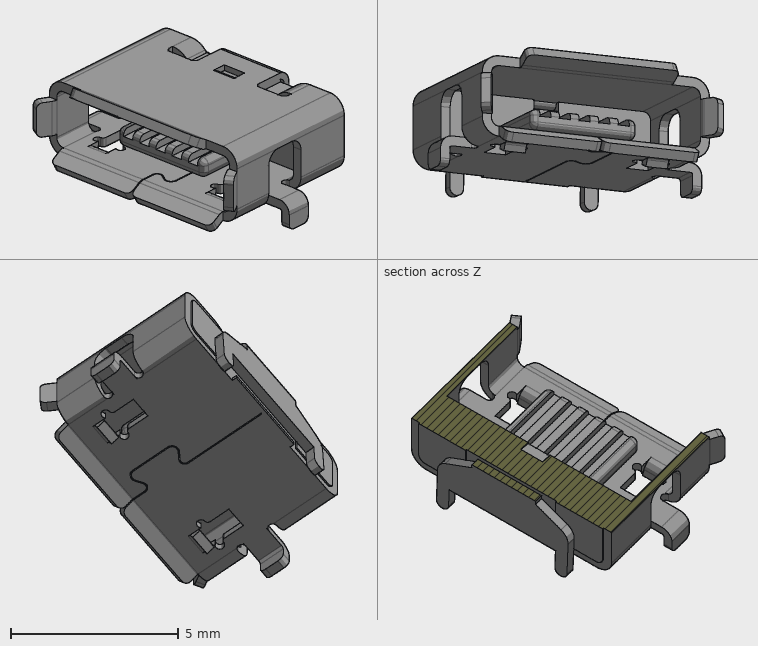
import cadquery as cq
import math

sheet = 0.3
shell_width = 7.525
shell_height = 2.47
shell_depth = 4.82
corner_outer = 0.56
corner_inner = corner_outer - sheet
inner_half_width = shell_width / 2 - sheet
inner_top = shell_height - sheet
flat_half_width = shell_width / 2 - corner_outer

flare_angle = 30
flare_inner_radius = 0.035
flare_length = 0.49
flare_tip_radius = 0.2
top_lip_width = 5.025
side_lip_height = 1.15
side_lip_center_z = 1.24
seam_gap = 0.035

bend_inner_radius = 0.09
bend_outer_radius = bend_inner_radius + sheet

leg_half_span = 4.325
leg_bottom_z = -0.61
leg_width = 0.865
leg_tip_radius = 0.21
leg_center_y = 2.145
window_width = 1.445
window_top_z = shell_height - corner_outer
window_corner_radius = 0.43
relief_width = (window_width - leg_width) / 2
relief_end_x = 3.17

spring_center_x = 2.35
spring_width = 0.71
spring_front_y = 0.55
spring_angle = 66.5
spring_length = 0.21
spring_hole_back_y = 2.08
spring_relief_radius = 0.14
spring_relief_y = 1.12
spring_relief_offset = 0.46
spring_shoulder_radius = 0.12

tail_width = 0.76
tail_front_y = 0.27
tail_neck_y = 0.78
tail_center_y = 1.25
tail_radius = 0.18

notch_inner_x = 1.2
notch_outer_x = 2.38
notch_front_y = 3.685
notch_radius = 0.165
flap_front_y = 3.99
flap_bend_radius = 0.805
flap_angle = 45
flap_length = 0.22

latch_width = 0.81
latch_front_y = 3.61
latch_ramp_end_y = 3.8
latch_back_y = 4.1
latch_ramp_drop = 0.09
latch_drop = 0.19
latch_pocket_floor_z = 1.89

cover_bend_y = 4.775
cover_bend_radius = 0.42
cover_bend_thickness = 0.22
cover_tilt = 2.4
cover_half_width = 2.46
cover_shoulder_z = 1.8
cover_shoulder_angle = 25.5
cover_shoulder_radius = 0.49
cover_bottom_z = 0.3
cover_foot_z = -0.64
cover_foot_width = 0.46

insulator_front_y = 3.46
insulator_back_y = 4.86
back_panel_inner_x = 1.695
tongue_width = 3.48
tongue_front_y = 0.78
tongue_bottom_z = 0.58
tongue_top_z = 1.19
tongue_radius = 0.2
contact_count = 5
contact_pitch = 0.65
contact_groove_width = 0.36
contact_groove_floor_z = 0.96
ledge_half_width = 1.43
ledge_height = 0.14
ledge_back_y = 4.965


def block(x_range, y_range, z_range):
    """Box between the given limits."""
    size = [high - low for low, high in (x_range, y_range, z_range)]
    corner = (x_range[0], y_range[0], z_range[0])
    return cq.Workplane("XY").box(*size, centered=False).translate(corner)


def both_sides(body):
    """The body together with its mirror image across x = 0."""
    return body.union(body.mirror("YZ"))


def curl(width, thickness, outer_radius, angle):
    """Bend starting at the local origin, heading +X and turning toward -Z; its outer face starts at z = 0."""
    return (
        cq.Workplane("YZ")
        .center(0, -thickness / 2)
        .rect(width, thickness)
        .revolve(angle, (0, thickness / 2 - outer_radius), (1, thickness / 2 - outer_radius))
    )


def bent_tab(width, inner_radius, angle, length, tip_radius=0):
    """Sheet tab that bends through the angle and then runs straight to a rounded tip."""
    outer_radius = inner_radius + sheet
    blade = block((0, length), (-width / 2, width / 2), (-sheet, 0))
    if tip_radius:
        blade = blade.edges("|Z and >X").fillet(tip_radius)
    blade = blade.rotate((0, 0, -outer_radius), (0, 1, -outer_radius), angle)
    return curl(width, sheet, outer_radius, angle).union(blade)


def placed(body, origin, heading, outer_normal):
    """Move a locally built tab so that +X follows the heading and +Z follows the normal."""
    plane = cq.Plane(origin=origin, xDir=heading, normal=outer_normal)
    return cq.Workplane(body.val().moved(cq.Location(plane)))


def rounded_bar(half_width, bottom_z, top_z, radius, front_y, back_y):
    """Bar along Y with a rounded rectangular section."""
    bar = block((-half_width, half_width), (front_y, back_y), (bottom_z, top_z))
    return bar.edges("|Y").fillet(radius)


def shell_tube():
    outside = rounded_bar(shell_width / 2, 0, shell_height, corner_outer, 0, shell_depth)
    inside = rounded_bar(inner_half_width, sheet, inner_top, corner_inner, 0, shell_depth)
    return outside.cut(inside)


def leg_window():
    """Opening in one side wall, with two round-ended reliefs reaching into the floor."""
    front_y = leg_center_y - window_width / 2
    back_y = leg_center_y + window_width / 2
    radius = relief_width / 2
    inner_x = relief_end_x + radius
    wall_opening = block((flat_half_width, leg_half_span), (front_y, back_y), (sheet, window_top_z))
    wall_opening = wall_opening.edges("|X and >Z").fillet(window_corner_radius)
    window = wall_opening.union(block((inner_x, leg_half_span), (front_y, back_y), (0, sheet)))
    for y in (front_y + radius, back_y - radius):
        round_end = cq.Workplane("XY").center(inner_x, y).circle(radius).extrude(sheet)
        window = window.union(round_end)
    return window


def leg():
    """Strip of floor that runs out through the window and turns down."""
    bend_x = leg_half_span - bend_outer_radius
    half = leg_width / 2
    strip = block((flat_half_width, bend_x), (leg_center_y - half, leg_center_y + half), (0, sheet))
    drop = sheet - bend_outer_radius - leg_bottom_z
    foot = bent_tab(leg_width, bend_inner_radius, 90, drop, leg_tip_radius)
    return strip.union(placed(foot, (bend_x, leg_center_y, sheet), (1, 0, 0), (0, 0, 1)))


def spring_hole():
    left_x = spring_center_x - spring_width / 2
    hole = block((left_x, left_x + spring_width), (spring_front_y, spring_hole_back_y), (0, sheet))
    for side in (-1, 1):
        x = spring_center_x + side * spring_relief_offset
        hole = hole.union(
            cq.Workplane("XY").center(x, spring_relief_y).circle(spring_relief_radius).extrude(sheet)
        )
    overhang = spring_relief_offset - spring_width / 2
    shoulder_y = spring_relief_y + math.sqrt(spring_relief_radius**2 - overhang**2)
    for x in (left_x, left_x + spring_width):
        shoulder = cq.selectors.NearestToPointSelector((x, shoulder_y, sheet / 2))
        hole = hole.edges("|Z").edges(shoulder).fillet(spring_shoulder_radius)
    return hole


def spring():
    hook = bent_tab(spring_width, bend_inner_radius, spring_angle, spring_length)
    return placed(hook, (spring_center_x, spring_front_y, sheet), (0, 1, 0), (0, 0, 1))


def floor_seam():
    """Narrow dovetail gap between the two halves of the floor."""
    margin = 0.865
    neck_back_y = 2 * tail_center_y - tail_neck_y
    tail_back_y = 2 * tail_center_y - tail_front_y
    half_gap = seam_gap / 2
    left_half = (
        cq.Workplane("XY")
        .moveTo(-half_gap, -margin)
        .lineTo(-half_gap, tail_neck_y)
        .lineTo(tail_width, tail_front_y)
        .lineTo(tail_width, tail_back_y)
        .lineTo(-half_gap, neck_back_y)
        .lineTo(-half_gap, shell_depth + margin)
        .lineTo(-margin, shell_depth + margin)
        .lineTo(-margin, -margin)
        .close()
        .extrude(sheet)
    )
    floor_area = block((-margin / 2, 2 * margin), (0, shell_depth), (0, sheet))
    tail_area = cq.selectors.BoxSelector((-0.09, 0, -0.09), (2 * margin, shell_depth, 2 * sheet))
    left_half = left_half.edges("|Z").edges(tail_area).fillet(tail_radius)
    outline = left_half.faces("<Z").wires().toPending().workplane(invert=True)
    widened = outline.offset2D(seam_gap).extrude(sheet)
    return widened.cut(left_half).intersect(floor_area)


def roof_notch():
    notch = block((notch_inner_x, notch_outer_x), (notch_front_y, shell_depth), (inner_top, shell_height))
    return notch.edges("|Z and <Y").fillet(notch_radius)


def roof_flap():
    """Flap at the outer side of a notch, bent inward and down into the insulator."""
    flap_width = shell_depth - flap_front_y
    flap = bent_tab(flap_width, flap_bend_radius - sheet, flap_angle, flap_length)
    flap_middle = (notch_outer_x, flap_front_y + flap_width / 2, shell_height)
    return placed(flap, flap_middle, (-1, 0, 0), (0, 0, 1))


def latch_hole():
    half = latch_width / 2
    return block((-half, half), (latch_front_y, latch_back_y), (inner_top, shell_height))


def latch_tab():
    """Tongue ramped down from the roof, then stepped to a lower flat, with a curved underside."""
    tab_top = shell_height - latch_drop
    tab_bottom = tab_top - sheet
    ramp_run = latch_ramp_end_y - latch_front_y
    underside_radius = (ramp_run**2 + latch_drop**2) / (2 * latch_drop)
    return (
        cq.Workplane("YZ")
        .moveTo(latch_front_y, shell_height)
        .lineTo(latch_ramp_end_y, shell_height - latch_ramp_drop)
        .lineTo(latch_ramp_end_y, tab_top)
        .lineTo(latch_back_y, tab_top)
        .lineTo(latch_back_y, tab_bottom)
        .lineTo(latch_ramp_end_y, tab_bottom)
        .radiusArc((latch_front_y, inner_top), underside_radius)
        .close()
        .extrude(latch_width / 2, both=True)
    )


def flared_lips():
    forward = (0, -1, 0)

    def lip(width):
        return bent_tab(width, flare_inner_radius, flare_angle, flare_length, flare_tip_radius)

    top = placed(lip(top_lip_width), (0, 0, inner_top), forward, (0, 0, -1))
    side = placed(lip(side_lip_height), (inner_half_width, 0, side_lip_center_z), forward, (-1, 0, 0))
    bottom_width = flat_half_width - seam_gap / 2
    bottom_center_x = flat_half_width - bottom_width / 2
    bottom = placed(lip(bottom_width), (bottom_center_x, 0, sheet), forward, (0, 0, 1))
    return top.union(both_sides(side)).union(both_sides(bottom))


def cover_plate(bend_z):
    """Sloped-shoulder plate with a round-ended foot at each side, before it is tilted."""
    shoulder_drop = (cover_half_width - notch_inner_x) * math.tan(math.radians(cover_shoulder_angle))
    foot_radius = cover_foot_width / 2
    foot_tip = (cover_half_width - foot_radius, cover_foot_z)
    foot_inner_x = cover_half_width - cover_foot_width
    outline = (
        cq.Workplane("XZ")
        .moveTo(0, bend_z)
        .lineTo(notch_inner_x, bend_z)
        .lineTo(notch_inner_x, cover_shoulder_z)
        .lineTo(cover_half_width, cover_shoulder_z - shoulder_drop)
        .lineTo(cover_half_width, cover_foot_z + foot_radius)
        .threePointArc(foot_tip, (foot_inner_x, cover_foot_z + foot_radius))
        .lineTo(foot_inner_x, cover_bottom_z)
        .lineTo(0, cover_bottom_z)
        .close()
        .extrude(sheet)
    )
    shoulder = cq.selectors.NearestToPointSelector(
        (cover_half_width, -sheet / 2, cover_shoulder_z - shoulder_drop)
    )
    half_plate = outline.edges("|Y").edges(shoulder).fillet(cover_shoulder_radius)
    return both_sides(half_plate).translate((0, cover_bend_y + cover_bend_radius, 0))


def back_cover():
    bend_z = shell_height - cover_bend_radius
    bend = curl(2 * notch_inner_x, cover_bend_thickness, cover_bend_radius, 90 - cover_tilt)
    bend = placed(bend, (0, cover_bend_y, shell_height), (0, 1, 0), (0, 0, 1))
    plate = cover_plate(bend_z).rotate((0, cover_bend_y, bend_z), (1, cover_bend_y, bend_z), cover_tilt)
    return bend.union(plate)


def tongue():
    """Contact tongue with rounded edges and a groove for each contact."""
    half = tongue_width / 2
    bar = block((-half, half), (tongue_front_y, insulator_front_y), (tongue_bottom_z, tongue_top_z))
    bar = bar.edges("|Z and <Y").fillet(tongue_radius)
    bar = bar.faces("<Z").edges("not >Y").fillet(tongue_radius)
    bar = bar.faces(">Z").edges("not >Y").fillet(tongue_radius)
    for index in range(contact_count):
        center_x = (index - (contact_count - 1) / 2) * contact_pitch
        left_x = center_x - contact_groove_width / 2
        groove = block(
            (left_x, left_x + contact_groove_width),
            (tongue_front_y, insulator_front_y),
            (contact_groove_floor_z, tongue_top_z),
        )
        bar = bar.cut(groove)
    return bar


def latch_pocket():
    """Pocket under the latch tab, with a floor that rises toward the back."""
    return (
        cq.Workplane("YZ")
        .moveTo(insulator_front_y, inner_top)
        .lineTo(latch_back_y, inner_top)
        .lineTo(latch_back_y, inner_top - latch_drop)
        .lineTo(insulator_front_y, latch_pocket_floor_z)
        .close()
        .extrude(latch_width / 2, both=True)
    )


def insulator():
    body = rounded_bar(
        inner_half_width, sheet, inner_top, corner_inner, insulator_front_y, insulator_back_y
    )
    step = block(
        (-back_panel_inner_x, back_panel_inner_x), (shell_depth, insulator_back_y), (0, shell_height)
    )
    body = body.cut(latch_pocket()).cut(step)
    ledge = block((-ledge_half_width, ledge_half_width), (shell_depth, ledge_back_y), (0, ledge_height))
    return body.union(tongue()).union(ledge)


openings = (
    both_sides(leg_window()),
    both_sides(spring_hole()),
    floor_seam(),
    both_sides(roof_notch()),
    latch_hole(),
)
additions = (
    both_sides(leg()),
    both_sides(spring()),
    flared_lips(),
    insulator(),
    both_sides(roof_flap()),
    latch_tab(),
    back_cover(),
)

connector = shell_tube()
for opening in openings:
    connector = connector.cut(opening)
for addition in additions:
    connector = connector.union(addition)

result = cq.Workplane(connector.solids().val())